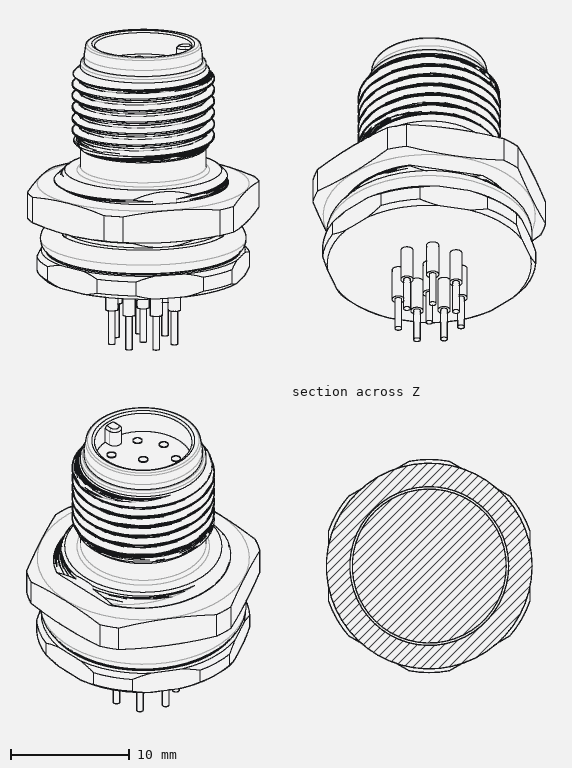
import cadquery as cq
import math


WIDE_PIN_BOTTOM = 3.0
FLANGE_BOTTOM = 6.0
FLANGE_TOP = 8.0
PANEL_THREAD_BOTTOM = 10.0
NUT_BOTTOM = 11.0
NUT_TOP = 13.8
PANEL_THREAD_TOP = 15.0
PLUG_THREAD_BOTTOM = 17.03
PLUG_THREAD_TOP = 24.0
SHOULDER_TOP = 24.5
TAPER_START = 25.0
TOP = 26.0

FLANGE_FLATS = 17.0
FLANGE_CORNERS = 18.0
FLANGE_CHAMFER = 0.4
SEAT_RADIUS = 8.22
SEAT_HEIGHT = 0.1

NUT_FLATS = 18.0
NUT_CORNERS = 19.9
NUT_CHAMFER_HEIGHT = 0.29
NUT_FACE_RADIUS = 8.95

RING_OUTER_RADIUS = 8.68
GROOVE_RADIUS = 6.5

PANEL_MAJOR = 7.6
PANEL_MINOR = 6.86
PANEL_PITCH = 1.41
PANEL_FLANK_ANGLE = 33
PANEL_CREST_WIDTH = 0.1
PANEL_CREST_Z = 14.6
PANEL_TOP_RADIUS = 6.63
PANEL_BOTTOM_RADIUS = 6.8
FLAT_HALF_WIDTH = 6.79

PLUG_MAJOR = 6.0
PLUG_MINOR = 5.43
PLUG_PITCH = 1.0
PLUG_FLANK_ANGLE = 30
PLUG_CREST_WIDTH = 0.125
PLUG_CREST_Z = 22.78

NECK_RADIUS = 5.3
NECK_FILLET = 0.29
SHOULDER_FILLET = 0.18
SLEEVE_RADIUS = 5.0
SLEEVE_TOP_RADIUS = 4.85
RIM_FILLET = 0.15
BORE_RADIUS = 4.1
BORE_DEPTH = 8.58
BORE_CHAMFER_WIDTH = 0.23
BORE_CHAMFER_HEIGHT = 0.13

KEY_TOP = 25.6
KEY_RADIUS = 0.6
KEY_CENTRE_Y = 3.54
KEY_CHAMFER = 0.2

PIN_CIRCLE_RADIUS = 2.75
PIN_STEP_ANGLE = 49
PINS_IN_RING = 7
PIN_TOP = 24.08
CONTACT_RADIUS = 0.4
WIDE_PIN_RADIUS = 0.52
THIN_PIN_RADIUS = 0.29

OVERLAP = 0.13
CREST_EXCESS = 0.25
SPIRAL_STEPS = 6


def cylinder(radius, bottom, top):
    return cq.Workplane("XY").workplane(offset=bottom).circle(radius).extrude(top - bottom)


def revolve_outline(points):
    """Turn an outline of (radius, z) points about the Z axis."""
    return cq.Workplane("XZ").polyline(points).close().revolve(360, (0, 0, 0), (0, 1, 0))


def chamfered_hexagon(flats, corners, face_radius, chamfer_height, bottom, top):
    """Hexagon with flats on X, its corners turned round and both ends coned."""
    hexagon = (
        cq.Workplane("XY").workplane(offset=bottom)
        .polygon(6, flats / math.cos(math.radians(30)))
        .extrude(top - bottom)
        .rotate((0, 0, 0), (0, 0, 1), 30)
    )
    turned = revolve_outline([
        (0, bottom),
        (face_radius, bottom),
        (corners / 2, bottom + chamfer_height),
        (corners / 2, top - chamfer_height),
        (face_radius, top),
        (0, top),
    ])
    return hexagon.intersect(turned)


def polar(radius, angle):
    return (radius * math.cos(angle), radius * math.sin(angle))


def spiral_points(start_radius, start_angle, end_radius, end_angle):
    """Points along an Archimedean spiral, leaving out its start."""
    fractions = [step / SPIRAL_STEPS for step in range(1, SPIRAL_STEPS + 1)]
    return [
        polar(
            start_radius + (end_radius - start_radius) * fraction,
            start_angle + (end_angle - start_angle) * fraction,
        )
        for fraction in fractions
    ]


def threaded_rod(major, minor, pitch, flank_angle, crest_width, crest_z, bottom, top):
    """Right-handed threaded rod from bottom to top.

    The cross-section is a single lobe with spiral flanks, twisted one turn per pitch.
    One crest passes the +X side at height crest_z.
    """
    angle_per_height = 2 * math.pi / pitch
    flank_height = (major - minor) * math.tan(math.radians(flank_angle))
    crest_angle = crest_width / 2 * angle_per_height
    root_angle = crest_angle + flank_height * angle_per_height
    height = top - bottom
    return (
        cq.Workplane("XY")
        .moveTo(*polar(major, -crest_angle))
        .threePointArc((major, 0), polar(major, crest_angle))
        .spline(spiral_points(major, crest_angle, minor, root_angle), includeCurrent=True)
        .threePointArc((-minor, 0), polar(minor, -root_angle))
        .spline(spiral_points(minor, -root_angle, major, -crest_angle), includeCurrent=True)
        .close()
        .twistExtrude(height, 360 * height / pitch)
        .rotate((0, 0, 0), (0, 0, 1), 360 * (bottom - crest_z) / pitch)
        .translate((0, 0, bottom))
    )


def end_chamfers(major, bottom_radius, top_radius, bottom, top):
    """Turned shape with 45 degree cones at both ends, just wider than the thread."""
    outer = major + CREST_EXCESS
    return revolve_outline([
        (0, bottom),
        (bottom_radius, bottom),
        (outer, bottom + outer - bottom_radius),
        (outer, top - outer + top_radius),
        (top_radius, top),
        (0, top),
    ])


def panel_thread():
    rod = threaded_rod(
        PANEL_MAJOR, PANEL_MINOR, PANEL_PITCH, PANEL_FLANK_ANGLE, PANEL_CREST_WIDTH,
        PANEL_CREST_Z, PANEL_THREAD_BOTTOM, PANEL_THREAD_TOP,
    )
    chamfers = end_chamfers(
        PANEL_MAJOR, PANEL_BOTTOM_RADIUS, PANEL_TOP_RADIUS, PANEL_THREAD_BOTTOM, PANEL_THREAD_TOP,
    )
    flats = cq.Workplane("XY").box(2 * FLAT_HALF_WIDTH, 3 * PANEL_MAJOR, 2 * TOP)
    return rod.intersect(chamfers).intersect(flats)


def plug_thread():
    rod = threaded_rod(
        PLUG_MAJOR, PLUG_MINOR, PLUG_PITCH, PLUG_FLANK_ANGLE, PLUG_CREST_WIDTH,
        PLUG_CREST_Z, PLUG_THREAD_BOTTOM, PLUG_THREAD_TOP,
    )
    chamfers = end_chamfers(
        PLUG_MAJOR, NECK_RADIUS, NECK_RADIUS, PLUG_THREAD_BOTTOM, PLUG_THREAD_TOP,
    )
    return rod.intersect(chamfers)


def plug_body():
    """Neck with its root fillet, shoulder above the thread and tapered sleeve."""
    return (
        cq.Workplane("XZ")
        .moveTo(0, FLANGE_TOP)
        .lineTo(NECK_RADIUS, FLANGE_TOP)
        .lineTo(NECK_RADIUS, PANEL_THREAD_TOP)
        .lineTo(NECK_RADIUS + NECK_FILLET, PANEL_THREAD_TOP)
        .radiusArc((NECK_RADIUS, PANEL_THREAD_TOP + NECK_FILLET), NECK_FILLET)
        .lineTo(NECK_RADIUS, SHOULDER_TOP - SHOULDER_FILLET)
        .radiusArc((NECK_RADIUS - SHOULDER_FILLET, SHOULDER_TOP), -SHOULDER_FILLET)
        .lineTo(SLEEVE_RADIUS, SHOULDER_TOP)
        .lineTo(SLEEVE_RADIUS, TAPER_START)
        .lineTo(SLEEVE_TOP_RADIUS, TOP - RIM_FILLET)
        .radiusArc((SLEEVE_TOP_RADIUS - RIM_FILLET, TOP), -RIM_FILLET)
        .lineTo(0, TOP)
        .close()
        .revolve(360, (0, 0, 0), (0, 1, 0))
    )


def bore():
    floor = TOP - BORE_DEPTH
    return revolve_outline([
        (0, floor),
        (BORE_RADIUS, floor),
        (BORE_RADIUS, TOP - BORE_CHAMFER_HEIGHT),
        (BORE_RADIUS + BORE_CHAMFER_WIDTH, TOP),
        (0, TOP),
    ])


def coding_key():
    """Round-nosed rib on the bore wall, chamfered around its top."""
    floor = TOP - BORE_DEPTH - OVERLAP
    wall_y = BORE_RADIUS + OVERLAP
    nose_to_outside = 2 * (SLEEVE_RADIUS - KEY_CENTRE_Y)
    rib = (
        cq.Workplane("XY").workplane(offset=floor)
        .center(0, KEY_CENTRE_Y)
        .moveTo(KEY_RADIUS, nose_to_outside)
        .lineTo(KEY_RADIUS, 0)
        .threePointArc((0, -KEY_RADIUS), (-KEY_RADIUS, 0))
        .lineTo(-KEY_RADIUS, nose_to_outside)
        .close()
        .extrude(KEY_TOP - floor)
        .faces(">Z").edges().chamfer(KEY_CHAMFER)
    )
    return rib.intersect(cylinder(wall_y, floor, KEY_TOP))


def mating_pin():
    return cylinder(CONTACT_RADIUS, TOP - BORE_DEPTH - OVERLAP, PIN_TOP)


def solder_pin():
    """Stepped pin below the flange."""
    wide = cylinder(WIDE_PIN_RADIUS, WIDE_PIN_BOTTOM, FLANGE_BOTTOM + OVERLAP)
    thin = cylinder(THIN_PIN_RADIUS, 0, WIDE_PIN_BOTTOM + OVERLAP)
    return wide.union(thin)


def contact_places():
    """Centre first, then the ring, spread evenly to both sides of -Y."""
    places = [(0, 0)]
    for index in range(PINS_IN_RING):
        angle = math.radians(-90 + PIN_STEP_ANGLE * (index - PINS_IN_RING // 2))
        places.append((PIN_CIRCLE_RADIUS * math.cos(angle), PIN_CIRCLE_RADIUS * math.sin(angle)))
    return places


def sealing_ring():
    section_radius = (PANEL_THREAD_BOTTOM - FLANGE_TOP) / 2
    section_centre = RING_OUTER_RADIUS - section_radius
    middle_z = FLANGE_TOP + section_radius
    return (
        cq.Workplane("XZ")
        .center(section_centre, middle_z)
        .circle(section_radius)
        .revolve(360, (-section_centre, 0, 0), (-section_centre, 1, 0))
    )


flange = chamfered_hexagon(
    FLANGE_FLATS, FLANGE_CORNERS, FLANGE_CORNERS / 2 - FLANGE_CHAMFER, FLANGE_CHAMFER,
    FLANGE_BOTTOM, FLANGE_TOP,
)
nut = chamfered_hexagon(
    NUT_FLATS, NUT_CORNERS, NUT_FACE_RADIUS, NUT_CHAMFER_HEIGHT, NUT_BOTTOM, NUT_TOP,
)

plug = plug_body().cut(bore()).union(coding_key())
base = flange.union(sealing_ring())
base = base.union(cylinder(SEAT_RADIUS, FLANGE_TOP, FLANGE_TOP + SEAT_HEIGHT))
base = base.union(cylinder(GROOVE_RADIUS, FLANGE_TOP, PANEL_THREAD_BOTTOM))
for x, y in contact_places():
    plug = plug.union(mating_pin().translate((x, y, 0)))
    base = base.union(solder_pin().translate((x, y, 0)))

result = plug
for part in (panel_thread(), plug_thread(), base, nut):
    result = result.union(part, clean=False)